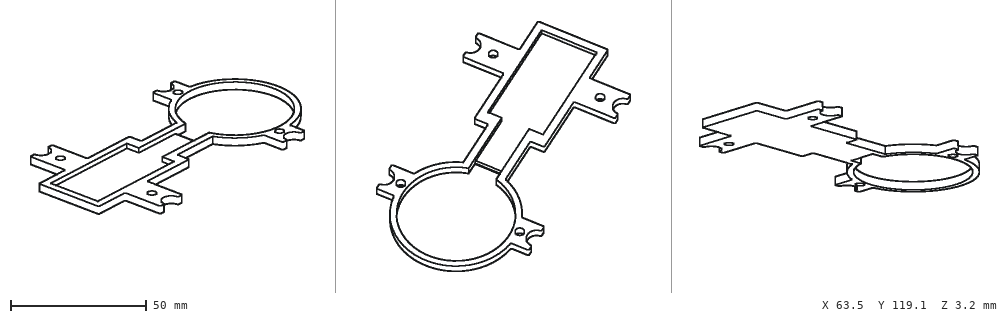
import cadquery as cq

length = 119.1
width = 63.5
thickness = 3.2
edge_radius = 0.5

ring_outer_radius = 24.5
ring_inner_radius = 22.0
ring_y = length - ring_outer_radius

body_width = 29.2
body_length = 51.6
neck_width = 17.6
wall = 3.1
pocket_width = body_width - 2 * wall
pocket_end_y = 46.6
slot_width = neck_width - 2 * wall
floor_thickness = 1.2
floor_end_y = 68.3
floor_chamfer = 0.7

lug_height = 12.6
notch_radius = 3.8
hole_diameter = 3.5
upper_lug_y = 91.1
upper_hole_x = 24.8
lower_lug_y = 21.3
lower_hole_x = 22.3


def block(block_width, y_start, y_end, height=thickness, z=0):
    """Box centred on X = 0, spanning the given Y range."""
    size_y = y_end - y_start
    box = cq.Workplane("XY").box(block_width, size_y, height, centered=(True, False, False))
    return box.translate((0, y_start, z))


def cylinder(radius, x, y):
    """Full-thickness cylinder standing on Z = 0."""
    return cq.Workplane("XY").center(x, y).circle(radius).extrude(thickness)


def lug_bar(y):
    """Bar across the full width, with a half-round notch in each end."""
    bar = block(width, y - lug_height / 2, y + lug_height / 2)
    for side in (-1, 1):
        bar = bar.cut(cylinder(notch_radius, side * width / 2, y))
    return bar


def outline():
    """Solid plate with rounded upright edges, before any openings."""
    body = block(body_width, 0, body_length).union(lug_bar(lower_lug_y))
    neck = block(neck_width, body_length, ring_y)
    handle = body.union(neck).edges("|Z").fillet(edge_radius)
    ring = cylinder(ring_outer_radius, 0, ring_y).union(lug_bar(upper_lug_y))
    ring = ring.edges("|Z").fillet(edge_radius)
    return handle.union(ring)


def recess():
    """Pocket in the body and slot in the neck, open into the ring."""
    depth = thickness - floor_thickness
    pocket = block(pocket_width, wall, pocket_end_y, depth, floor_thickness)
    slot = block(slot_width, pocket_end_y, ring_y, depth, floor_thickness)
    return pocket.union(slot)


def floor_end():
    """Space beyond the neck floor, leaving a bevel on the floor's top edge."""
    profile = [
        (floor_end_y, 0),
        (floor_end_y, floor_thickness - floor_chamfer),
        (floor_end_y - floor_chamfer, floor_thickness),
        (ring_y, floor_thickness),
        (ring_y, 0),
    ]
    return cq.Workplane("YZ").polyline(profile).close().extrude(slot_width / 2, both=True)


result = outline()
result = result.cut(cylinder(ring_inner_radius, 0, ring_y))
result = result.cut(recess()).cut(floor_end())
for hole_x, lug_y in ((upper_hole_x, upper_lug_y), (lower_hole_x, lower_lug_y)):
    for side in (-1, 1):
        result = result.cut(cylinder(hole_diameter / 2, side * hole_x, lug_y))